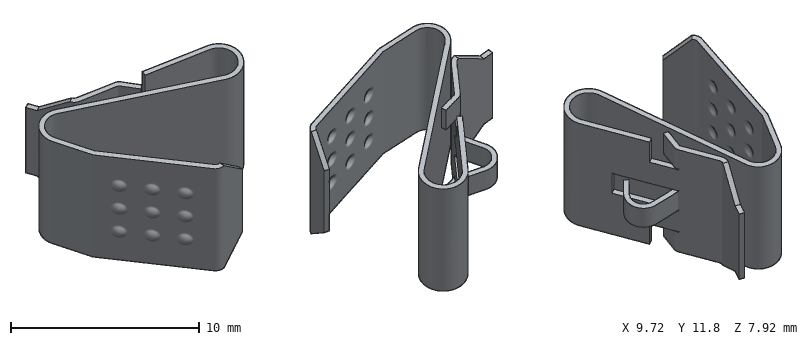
import cadquery as cq
import math

THICKNESS = 0.31
WIDTH = 7.92
HALF_THICKNESS = THICKNESS / 2
HALF_WIDTH = WIDTH / 2

FLANGE_BEND_RADIUS = 0.46
SHARP_BEND_RADIUS = HALF_THICKNESS + 0.01

WALL_LENGTH = 9.26
LOOP_RADIUS = 1.17
LEG_TILT = 13.0
LEG_LENGTH = 7.86
LEG_FLANGE_TILT = 37.0
LEG_FLANGE_LENGTH = 2.52

CURL_RADIUS = 1.09
RAMP_TILT = 40.0
RAMP_LENGTH = 2.31
JAW_TILT = 24.5
JAW_LENGTH = 6.43
JAW_FLANGE_TILT = 35.0
JAW_FLANGE_LENGTH = 1.55

LEG_TIP_WIDTH = 5.07
JAW_TIP_WIDTH = 4.80
LEG_TAPER_LENGTH = 1.88

HINGE_STATION = 5.55
LANCE_GAP = 0.035
SLOT_LENGTH = 3.76
HOOK_WIDTH = 1.47
HOOK_TILT = 73.0
HOOK_ROOT_LENGTH = 1.525
HOOK_RADIUS = 0.90
HOOK_TURN = 129.0
HOOK_TIP_LENGTH = 1.04
NOTCH_LENGTH = 1.64
TAB_WIDTH = 1.52
TAB_TILT = 27.0
TAB_BEND_RADIUS = 0.29
TAB_LENGTH = 1.15

DIMPLE_COUNT = 3
DIMPLE_PITCH = 1.78
DIMPLE_GRID_STATION = 3.14
DIMPLE_BASE_RADIUS = 0.5
DIMPLE_DOME_RADIUS = 0.37
DIMPLE_HEIGHT = 0.18


class Pose:
    """A point on the strip's centreline and the heading there, in degrees from +X."""

    def __init__(self, x, y, heading):
        self.x = x
        self.y = y
        self.heading = heading

    def forward(self, length):
        angle = math.radians(self.heading)
        return Pose(self.x + length * math.cos(angle), self.y + length * math.sin(angle), self.heading)

    def point_left(self, offset):
        angle = math.radians(self.heading)
        return (self.x - offset * math.sin(angle), self.y + offset * math.cos(angle))

    def turn(self, radius, degrees):
        """Follow an arc; positive degrees turn left."""
        reach = math.copysign(radius, degrees)
        centre_x, centre_y = self.point_left(reach)
        end = Pose(centre_x, centre_y, self.heading + degrees)
        return Pose(*end.point_left(-reach), end.heading)

    def plane(self):
        """Local X runs along the strip, local Y along world Z, normal to the strip's right side."""
        angle = math.radians(self.heading)
        return cq.Plane((self.x, self.y, 0), (math.cos(angle), math.sin(angle), 0),
                        (math.sin(angle), -math.cos(angle), 0))


def straight(pose, length, width):
    end = pose.forward(length)
    outline = cq.Workplane("XY").polyline([
        pose.point_left(HALF_THICKNESS),
        pose.point_left(-HALF_THICKNESS),
        end.point_left(-HALF_THICKNESS),
        end.point_left(HALF_THICKNESS),
    ]).close()
    return outline.extrude(width / 2, both=True), end


def bend(pose, radius, degrees, width):
    middle = pose.turn(radius, degrees / 2)
    end = pose.turn(radius, degrees)
    outline = (
        cq.Workplane("XY")
        .moveTo(*pose.point_left(HALF_THICKNESS))
        .lineTo(*pose.point_left(-HALF_THICKNESS))
        .threePointArc(middle.point_left(-HALF_THICKNESS), end.point_left(-HALF_THICKNESS))
        .lineTo(*end.point_left(HALF_THICKNESS))
        .threePointArc(middle.point_left(HALF_THICKNESS), pose.point_left(HALF_THICKNESS))
        .close()
    )
    return outline.extrude(width / 2, both=True), end


def flange(pose, length, taper_length, tip_width):
    """Straight run narrowing to tip_width over taper_length, then parallel to its tip."""
    half_tip = tip_width / 2
    upper = [(0, HALF_WIDTH), (taper_length, half_tip)]
    if taper_length < length:
        upper.append((length, half_tip))
    lower = [(along, -z) for along, z in reversed(upper)]
    return cq.Workplane(pose.plane()).polyline(upper + lower).close().extrude(HALF_THICKNESS, both=True)


def leg_opening(hinge, length, z_low, z_high):
    """Cutter through the leg, reaching back from the hinge line."""
    return (
        cq.Workplane(hinge.plane())
        .moveTo(0, z_low)
        .lineTo(length, z_low)
        .lineTo(length, z_high)
        .lineTo(0, z_high)
        .close()
        .extrude(THICKNESS, both=True)
    )


def make_leg():
    wall, wall_end = straight(Pose(0, 0, 90), WALL_LENGTH, WIDTH)
    loop, leg_start = bend(wall_end, LOOP_RADIUS, 180 + LEG_TILT, WIDTH)
    leg, leg_end = straight(leg_start, LEG_LENGTH, WIDTH)
    corner, flange_start = bend(leg_end, FLANGE_BEND_RADIUS, -(LEG_TILT + LEG_FLANGE_TILT), WIDTH)
    lip = flange(flange_start, LEG_FLANGE_LENGTH, LEG_TAPER_LENGTH, LEG_TIP_WIDTH)

    station = leg_start.forward(HINGE_STATION)
    hinge = Pose(station.x, station.y, station.heading - 180)
    half_slot = HOOK_WIDTH / 2 + LANCE_GAP
    notch_floor = HALF_WIDTH - TAB_WIDTH - LANCE_GAP
    leg = leg.cut(leg_opening(hinge, SLOT_LENGTH, -half_slot, half_slot))
    leg = leg.cut(leg_opening(hinge, NOTCH_LENGTH, notch_floor, WIDTH))
    leg = leg.cut(leg_opening(hinge, NOTCH_LENGTH, -WIDTH, -notch_floor))

    body = wall.union(loop).union(leg).union(corner).union(lip).union(make_hook(hinge))
    for side in (1, -1):
        tab_middle = side * (HALF_WIDTH - TAB_WIDTH / 2)
        body = body.union(make_tab(hinge).translate((0, 0, tab_middle)))
    return body


def make_hook(hinge):
    fold, root_start = bend(hinge, SHARP_BEND_RADIUS, HOOK_TILT - LEG_TILT, HOOK_WIDTH)
    root, root_end = straight(root_start, HOOK_ROOT_LENGTH, HOOK_WIDTH)
    curve, tip_start = bend(root_end, HOOK_RADIUS, -HOOK_TURN, HOOK_WIDTH)
    tip, _ = straight(tip_start, HOOK_TIP_LENGTH, HOOK_WIDTH)
    return fold.union(root).union(curve).union(tip)


def make_tab(hinge):
    fold, tab_start = bend(hinge, TAB_BEND_RADIUS, -(LEG_TILT + TAB_TILT), TAB_WIDTH)
    blade, _ = straight(tab_start, TAB_LENGTH, TAB_WIDTH)
    return fold.union(blade)


def dimple_form(base_height):
    """Solid of revolution along Z: a skirt arc, tangent to the base plane, flowing into a spherical crown."""
    crown = base_height + DIMPLE_HEIGHT
    shoulder = crown - DIMPLE_HEIGHT * DIMPLE_DOME_RADIUS / DIMPLE_BASE_RADIUS
    base_edge = cq.Vector(DIMPLE_BASE_RADIUS, 0, base_height)
    shoulder_edge = cq.Vector(DIMPLE_DOME_RADIUS, 0, shoulder)
    apex = cq.Vector(0, 0, crown)
    base_centre = cq.Vector(0, 0, base_height)
    profile = cq.Wire.assembleEdges([
        cq.Edge.makeLine(base_centre, base_edge),
        cq.Edge.makeTangentArc(base_edge, cq.Vector(-1, 0, 0), shoulder_edge),
        cq.Edge.makeTangentArc(apex, cq.Vector(1, 0, 0), shoulder_edge),
        cq.Edge.makeLine(apex, base_centre),
    ])
    return cq.Solid.revolve(profile, [], 360, base_centre, apex)


def make_jaw():
    curl, ramp_start = bend(Pose(0, 0, -90), CURL_RADIUS, 180 - RAMP_TILT, WIDTH)
    ramp, ramp_end = straight(ramp_start, RAMP_LENGTH, WIDTH)
    kink, jaw_start = bend(ramp_end, SHARP_BEND_RADIUS, RAMP_TILT - JAW_TILT, WIDTH)
    jaw, jaw_end = straight(jaw_start, JAW_LENGTH, WIDTH)
    corner, flange_start = bend(jaw_end, FLANGE_BEND_RADIUS, JAW_TILT + JAW_FLANGE_TILT, WIDTH)
    lip = flange(flange_start, JAW_FLANGE_LENGTH, JAW_FLANGE_LENGTH, JAW_TIP_WIDTH)

    plane = jaw_start.forward(DIMPLE_GRID_STATION).plane()
    bump = dimple_form(HALF_THICKNESS)
    hollow = dimple_form(-HALF_THICKNESS)
    middle = (DIMPLE_COUNT - 1) / 2
    for column in range(DIMPLE_COUNT):
        for row in range(DIMPLE_COUNT):
            centre = cq.Vector((column - middle) * DIMPLE_PITCH, (row - middle) * DIMPLE_PITCH, 0)
            place = cq.Location(plane) * cq.Location(centre)
            jaw = jaw.union(cq.Workplane(bump.moved(place)))
            jaw = jaw.cut(cq.Workplane(hollow.moved(place)))
    return curl.union(ramp).union(kink).union(jaw).union(corner).union(lip)


result = make_leg().union(make_jaw())